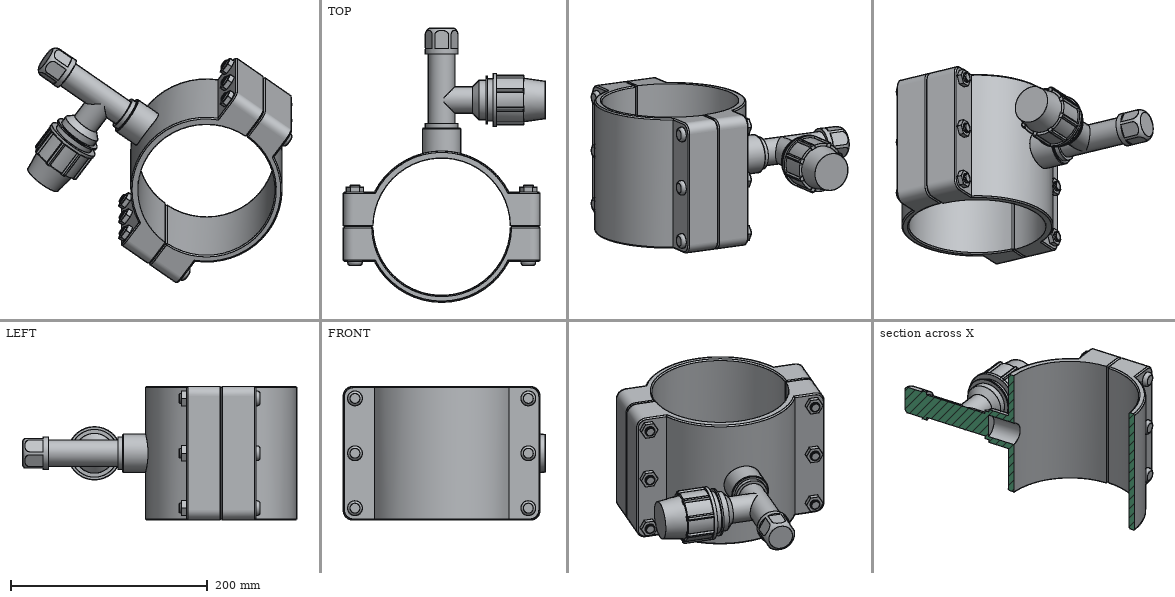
import cadquery as cq
import math

height = 136.0
ring_radius = 77.0
bore_radius = 69.7
flange_reach = 100.0
flange_thickness = 35.0
flange_corner_radius = 10.0
edge_chamfer = 1.5

tolerance = 0.03
parallel = 0.9

bolt_x = 88.0
bolt_pitch = 55.7
bolt_diameter = 10.0
bolt_head_diameter = 15.0
bolt_head_height = 4.5
bolt_head_rim = 1.0
nut_across_flats = 15.3
nut_height = 5.0
bolt_tip_height = 2.5
bolt_tip_chamfer = 0.8

boss_diameter = 39.3
boss_end = 100.3
boss_chamfer = 0.8
collar_diameter = 33.5
lower_collar_end = 105.0
pipe_diameter = 27.3
cap_collar_start = 175.3
hex_start = 181.0
overall_length = 278.7
stem_end = overall_length - ring_radius
outlet_hole_diameter = 25.0
hex_across_flats = 30.5
crown_height = 6.7
crown_top_diameter = 25.0
crown_mid_diameter = 30.0
crown_mid_drop = 2.1

branch_y = 128.8
branch_pipe_end = 31.5
body_start = 38.0
body_diameter = 40.5
stop_ring_start = 45.0
stop_ring_end = 46.5
stop_ring_diameter = 48.5
neck_diameter = 43.2
nut_flange_start = 52.5
nut_flange_end = 55.7
nut_flange_diameter = 54.0
grip_end = 83.0
grip_diameter = 50.2
nose_start_diameter = 44.5
nose_end_diameter = 38.5
nose_lip = 1.0
branch_end = 105.4
rib_count = 8
rib_root_width = 4.7
rib_top_width = 2.2
rib_radius = nut_flange_diameter / 2
rib_end = 84.0
rib_end_chamfer = 1.0


def is_bore_end(edge):
    """True for the arcs where the bore meets the top and bottom faces."""
    middle = edge.positionAt(0.5)
    return abs(math.hypot(middle.x, middle.y) - bore_radius) < tolerance and abs(middle.z) > height / 4


def is_outline_edge(edge):
    """True for the sharp edges round a half's flange face, joint face and outer end arcs."""
    middle = edge.positionAt(0.5)
    across = math.hypot(middle.x, middle.y)
    along_y = edge.geomType() == "LINE" and abs(edge.tangentAt(0.5).y) > parallel
    is_concave_corner = (
        edge.geomType() == "LINE"
        and abs(edge.tangentAt(0.5).z) > parallel
        and abs(across - ring_radius) < tolerance
    )
    return not (along_y or is_concave_corner or is_bore_end(edge))


def half_clamp(side, chamfer_bore):
    """One half of the clamp, on the +Y (side = 1) or -Y (side = -1) side of the joint."""
    flange = (
        cq.Workplane("XY")
        .box(2 * flange_reach, flange_thickness, height)
        .edges("|Y")
        .fillet(flange_corner_radius)
        .translate((0, side * flange_thickness / 2, 0))
    )
    half_space = (
        cq.Workplane("XY")
        .box(2 * ring_radius, ring_radius, height)
        .translate((0, side * ring_radius / 2, 0))
    )
    ring = cq.Workplane("XY").circle(ring_radius).extrude(height / 2, both=True).intersect(half_space)
    bore = cq.Workplane("XY").circle(bore_radius).extrude(height, both=True)
    half = ring.union(flange).cut(bore)
    outline = half.edges().filter(is_outline_edge)
    if chamfer_bore:
        outline = outline.add(half.edges().filter(is_bore_end))
    return outline.chamfer(edge_chamfer)


def bolt(x, z):
    """Round head in front, hexagonal nut and bolt tip behind."""
    back = cq.Workplane("XZ", origin=(x, flange_thickness, z))
    head = (
        cq.Workplane("XY", origin=(x, -flange_thickness, z))
        .lineTo(bolt_head_diameter / 2, 0)
        .lineTo(bolt_head_diameter / 2, -bolt_head_rim)
        .tangentArcPoint((bolt_diameter / 2, -bolt_head_height), relative=False)
        .lineTo(0, -bolt_head_height)
        .close()
        .revolve(360, (0, 0, 0), (0, 1, 0))
    )
    nut_across_corners = nut_across_flats / math.cos(math.pi / 6)
    nut = back.polygon(6, nut_across_corners).extrude(-nut_height)
    tip = back.circle(bolt_diameter / 2).extrude(-(nut_height + bolt_tip_height))
    tip = tip.faces(">Y").edges().chamfer(bolt_tip_chamfer)
    return head.union(nut).union(tip)


def stem():
    """Boss, collars and pipe turned about Y, with the crowned hexagonal cap."""
    wall_middle = (ring_radius + bore_radius) / 2
    inner_start = math.sqrt(wall_middle**2 - (boss_diameter / 2) ** 2)
    turned = (
        cq.Workplane("XY")
        .moveTo(0, inner_start)
        .lineTo(boss_diameter / 2, inner_start)
        .lineTo(boss_diameter / 2, boss_end - boss_chamfer)
        .lineTo(boss_diameter / 2 - boss_chamfer, boss_end)
        .lineTo(collar_diameter / 2, boss_end)
        .lineTo(collar_diameter / 2, lower_collar_end)
        .lineTo(pipe_diameter / 2, lower_collar_end)
        .lineTo(pipe_diameter / 2, cap_collar_start)
        .lineTo(collar_diameter / 2, cap_collar_start)
        .lineTo(collar_diameter / 2, stem_end - crown_height)
        .threePointArc(
            (crown_mid_diameter / 2, stem_end - crown_mid_drop),
            (crown_top_diameter / 2, stem_end),
        )
        .lineTo(0, stem_end)
        .close()
        .revolve(360, (0, 0, 0), (0, 1, 0))
    )
    cap_length = stem_end - hex_start
    hex_across_corners = hex_across_flats / math.cos(math.pi / 6)
    outside_hex = (
        cq.Workplane("XZ", origin=(0, hex_start, 0))
        .circle(collar_diameter)
        .polygon(6, hex_across_corners)
        .extrude(-cap_length)
    )
    return turned.cut(outside_hex)


def branch():
    """Side pipe and compression coupling turned about the branch axis, with grip ribs."""
    steps = [
        (0, 0),
        (0, pipe_diameter / 2),
        (branch_pipe_end, pipe_diameter / 2),
        (body_start, body_diameter / 2),
        (stop_ring_start, body_diameter / 2),
        (stop_ring_start, stop_ring_diameter / 2),
        (stop_ring_end, stop_ring_diameter / 2),
        (stop_ring_end, neck_diameter / 2),
        (nut_flange_start, neck_diameter / 2),
        (nut_flange_start, nut_flange_diameter / 2),
        (nut_flange_end, nut_flange_diameter / 2),
        (nut_flange_end, grip_diameter / 2),
        (grip_end, grip_diameter / 2),
        (grip_end, nose_start_diameter / 2),
        (branch_end - nose_lip, nose_end_diameter / 2),
        (branch_end, nose_end_diameter / 2),
        (branch_end, 0),
    ]
    coupling = cq.Workplane("XY").polyline(steps).close().revolve(360, (0, 0, 0), (1, 0, 0))
    rib = (
        cq.Workplane("YZ", origin=(nut_flange_end, 0, 0))
        .moveTo(-rib_root_width / 2, neck_diameter / 2)
        .lineTo(-rib_root_width / 2, grip_diameter / 2)
        .lineTo(-rib_top_width / 2, rib_radius)
        .lineTo(rib_top_width / 2, rib_radius)
        .lineTo(rib_root_width / 2, grip_diameter / 2)
        .lineTo(rib_root_width / 2, neck_diameter / 2)
        .close()
        .extrude(rib_end - nut_flange_end)
    )
    rib = rib.faces(">Z").edges(">X").chamfer(rib_end_chamfer)
    rib_step = 360 / rib_count
    for i in range(rib_count):
        coupling = coupling.union(rib.rotate((0, 0, 0), (1, 0, 0), (i + 0.5) * rib_step))
    return coupling.translate((0, branch_y, 0))


result = half_clamp(-1, chamfer_bore=True).union(half_clamp(1, chamfer_bore=False))
for x in (-bolt_x, bolt_x):
    for z in (-bolt_pitch, 0, bolt_pitch):
        result = result.union(bolt(x, z))
result = result.union(stem()).union(branch())

outlet_hole = cq.Workplane("XZ").circle(outlet_hole_diameter / 2).extrude(-boss_end)
result = result.cut(outlet_hole)